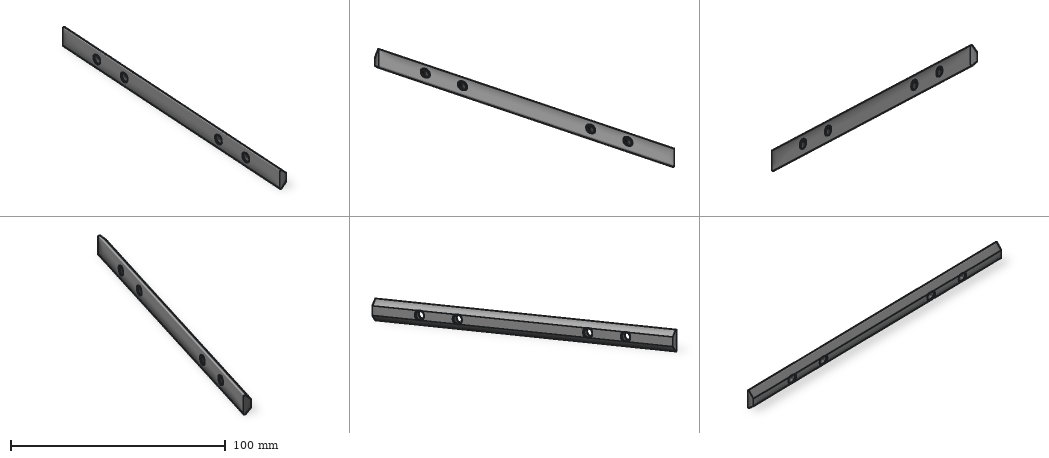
import cadquery as cq
import math

length = 159.0
thickness = 4.0
height = 10.5

edge_radius = 0.72
sharp_front_height = height + 2 * math.sqrt(2) * edge_radius
back_height = sharp_front_height - 2 * thickness

hole_diameter = 4.1
hole_mouth_diameter = 5.1
hole_chamfer = (hole_mouth_diameter - hole_diameter) / 2
outer_hole_inset = 25.0
hole_spacing = 20.0


def make_bar():
    """Trapezoidal bar with its wide face at the front and rounded acute edges."""
    front_y = -thickness / 2
    back_y = thickness / 2
    profile = [
        (front_y, -sharp_front_height / 2),
        (back_y, -back_height / 2),
        (back_y, back_height / 2),
        (front_y, sharp_front_height / 2),
    ]
    bar = cq.Workplane("YZ").polyline(profile).close().extrude(length / 2, both=True)
    return bar.faces("<Y").edges("|X").fillet(edge_radius)


def make_hole_cutter(x):
    """Cylinder along Y that flares at 45 degrees to both faces of the bar."""
    half_depth = thickness / 2
    bore_radius = hole_diameter / 2
    mouth_radius = hole_mouth_diameter / 2
    half_section = [
        (0, -half_depth),
        (mouth_radius, -half_depth),
        (bore_radius, -half_depth + hole_chamfer),
        (bore_radius, half_depth - hole_chamfer),
        (mouth_radius, half_depth),
        (0, half_depth),
    ]
    cutter = cq.Workplane("XY").polyline(half_section).close().revolve(360, (0, 0), (0, 1))
    return cutter.translate((x, 0, 0))


outer_hole_x = length / 2 - outer_hole_inset
inner_hole_x = outer_hole_x - hole_spacing

result = make_bar()
for hole_x in (-outer_hole_x, -inner_hole_x, inner_hole_x, outer_hole_x):
    result = result.cut(make_hole_cutter(hole_x))